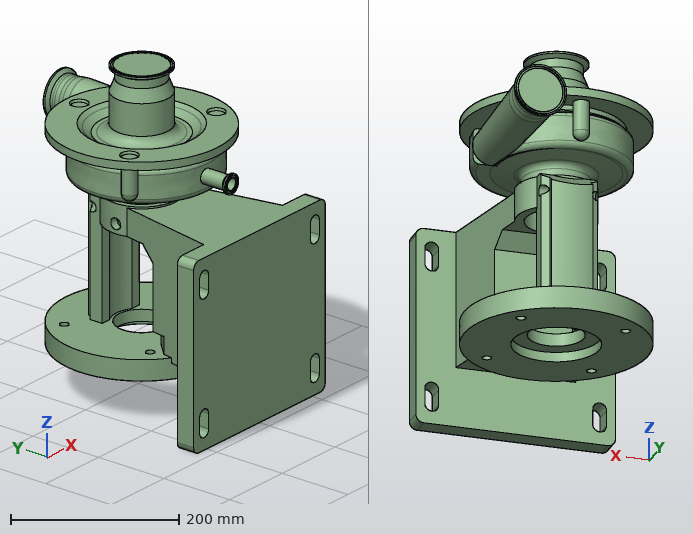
import cadquery as cq
import math

TOTAL_HEIGHT = 416.0

PLATE_SIZE = 250.0
PLATE_BACK_Y = -179.7
PLATE_THICKNESS = 25.0
PLATE_FRONT_Y = PLATE_BACK_Y + PLATE_THICKNESS
PLATE_CORNER_RADIUS = 10.0
SLOT_SPACING_X = 210.0
SLOT_SPACING_Z = 180.0
SLOT_LENGTH = 37.0
SLOT_WIDTH = 17.0

FLANGE_RADIUS = 115.2
MOTOR_FLANGE_BOTTOM = 55.0
MOTOR_FLANGE_TOP = 82.8
MOTOR_FLANGE_BORE_RADIUS = 34.5
MOTOR_SPIGOT_RADIUS = 54.0
MOTOR_SPIGOT_DEPTH = 12.0
BOLT_PITCH = 131.0
BOLT_HOLE_DIAMETER = 11.5

RING_RADIUS = 50.0
RING_BORE_RADIUS = 38.3
SHAFT_BORE_TOP = 250.0
RING_BOTTOM = 213.0
RING_TOP = 252.5
RING_HOLE_RADIUS = 7.5
RING_HOLE_Z = 226.0

WEB_HALF_WIDTH_AT_PLATE = 75.0
WEB_HALF_WIDTH_AT_RING = 47.5
WEB_RING_Y = -15.5
WEB_INNER_Y = -62.5
WEB_BOTTOM = 76.0
WEB_INNER_CHAMFER = 18.7
BOLT_CLEARANCE_HEIGHT = 23.0
BOLT_CLEARANCE_DEPTH = 20.0

ARM_HALF_WIDTH = 35.5
ARM_RIDGE_HALF_WIDTH = 26.0
ARM_INNER_Y = 32.0
ARM_SHOULDER_Y = 50.5
ARM_RIDGE_Y = 55.0
ARM_OUTER_RADIUS = 66.0
ARM_CHAMFER_Y = 20.5
ARM_CHAMFER_Z = 16.5
ARM_HOLE_RADIUS = 6.5
ARM_HOLE_Y = 48.0
ARM_HOLE_Z = 230.0

CASING_START_RADIUS = 82.5
CASING_GROWTH_PER_TURN = 21.5
CURVE_STEPS = 24
CASING_BOTTOM = 274.5
CASING_TOP = 320.0
CASING_TOP_FILLET = 6.2
CASING_BOTTOM_FILLET = 7.5
COLLAR_RADIUS = 84.5
COLLAR_FOOT_RADIUS = 86.5
COLLAR_BOTTOM = 322.5
CASING_CONE_RADIUS = 79.0
CASING_FLOOR = 271.5
NECK_RADIUS = 42.5
NECK_FILLET = 8.0

FRONT_FLANGE_BOTTOM = 328.5
FRONT_FLANGE_TOP = 339.5
DISH_FLOOR = 328.2
DISH_OPENING_RADIUS = 77.0
DISH_WALL_RADIUS = 70.7
DISH_WALL_BOTTOM = 335.0
DISH_FLOOR_OUTER_RADIUS = 60.5
DISH_FLOOR_INNER_RADIUS = 53.5

BOSS_CIRCLE_RADIUS = 95.3
BOSS_RADIUS = 10.0
BOSS_ROUND_CENTER_Z = 290.5
BOSS_ANGLES = (90, 210, 330)
BOSS_RECESS_RADIUS = 11.5
BOSS_RECESS_FLOOR_RADIUS = 10.5
BOSS_RECESS_DEPTH = 3.5

INLET_RADIUS = 39.0
INLET_NECK_RADIUS = 32.5
INLET_CONE_BOTTOM = 382.0
INLET_CONE_TOP = 398.5
FERRULE_RIM = 2.5
FERRULE_TAPER = 3.7
GROOVE_MARGIN = 2.0
GROOVE_WIDTH = 2.5
GROOVE_DEPTH = 1.2

PORT_Z = 298.0
OUTLET_X = 81.5
OUTLET_END_Y = 190.0
OUTLET_ROOT_RADIUS = 23.5
OUTLET_SWELL_RADIUS = 28.3
OUTLET_SWELL_Y = 156.0
OUTLET_SHOULDER_RADIUS = 27.5
OUTLET_SHOULDER_Y = 165.0
OUTLET_NECK_RADIUS = 26.5
OUTLET_NECK_Y = 171.0
OUTLET_NECK_END_Y = 177.2
OUTLET_LAND_RADIUS = 27.0
OUTLET_LAND_Y = 180.0
OUTLET_FERRULE_RADIUS = 32.5
DRAIN_ROOT = 68.5
DRAIN_END = 137.3
DRAIN_RADIUS = 10.0
DRAIN_FERRULE_RADIUS = 13.5
DRAIN_BORE_RADIUS = 8.0
DRAIN_BORE_DEPTH = 33.3


def cylinder(radius, bottom, top, x=0.0, y=0.0):
    return cq.Workplane("XY", origin=(x, y, bottom)).circle(radius).extrude(top - bottom)


def turned(profile):
    """Revolve a list of (radius, height) points, closed along the Z axis."""
    first_height = profile[0][1]
    last_height = profile[-1][1]
    points = [(0, first_height)] + profile + [(0, last_height)]
    return cq.Workplane("XZ").polyline(points).close().revolve(360, (0, 0), (0, 1))


def ferruled_pipe(profile, rim_radius, end):
    """Turned pipe along Z whose last neck flares to a grooved clamp ferrule."""
    neck_radius = profile[-1][0]
    ferrule = [
        (neck_radius, end - FERRULE_RIM - FERRULE_TAPER),
        (rim_radius, end - FERRULE_RIM),
        (rim_radius, end),
    ]
    groove_radius = rim_radius - GROOVE_MARGIN
    groove = (
        cq.Workplane("XY", origin=(0, 0, end))
        .circle(groove_radius)
        .circle(groove_radius - GROOVE_WIDTH)
        .extrude(-GROOVE_DEPTH)
    )
    return turned(profile + ferrule).cut(groove)


def mounting_plate():
    center = cq.Workplane("XZ", origin=(0, PLATE_FRONT_Y, PLATE_SIZE / 2))
    plate = center.rect(PLATE_SIZE, PLATE_SIZE).extrude(PLATE_THICKNESS)
    plate = plate.edges("|Y").fillet(PLATE_CORNER_RADIUS)
    slots = (
        center.rect(SLOT_SPACING_X, SLOT_SPACING_Z, forConstruction=True)
        .vertices()
        .slot2D(SLOT_LENGTH, SLOT_WIDTH, 90)
        .extrude(PLATE_THICKNESS)
    )
    return plate.cut(slots)


def motor_flange():
    """Motor flange with a shallow spigot recess below and four bolt holes."""
    flange = cylinder(FLANGE_RADIUS, MOTOR_FLANGE_BOTTOM, MOTOR_FLANGE_TOP)
    spigot_top = MOTOR_FLANGE_BOTTOM + MOTOR_SPIGOT_DEPTH
    flange = flange.cut(cylinder(MOTOR_SPIGOT_RADIUS, MOTOR_FLANGE_BOTTOM, spigot_top))
    return (
        flange.faces(">Z").workplane().hole(2 * MOTOR_FLANGE_BORE_RADIUS)
        .faces(">Z").workplane()
        .rect(BOLT_PITCH, BOLT_PITCH, forConstruction=True)
        .vertices()
        .hole(BOLT_HOLE_DIAMETER)
    )


def web_half_width_at(y):
    """Half width of the tapered web at a given Y."""
    share = (y - PLATE_FRONT_Y) / (WEB_RING_Y - PLATE_FRONT_Y)
    return WEB_HALF_WIDTH_AT_PLATE + share * (WEB_HALF_WIDTH_AT_RING - WEB_HALF_WIDTH_AT_PLATE)


def bracket_web():
    """Tapered web from the plate to the clamp ring, with room for two bolt heads."""
    plan = (
        cq.Workplane("XY")
        .moveTo(-WEB_HALF_WIDTH_AT_PLATE, PLATE_FRONT_Y)
        .lineTo(WEB_HALF_WIDTH_AT_PLATE, PLATE_FRONT_Y)
        .lineTo(WEB_HALF_WIDTH_AT_RING, WEB_RING_Y)
        .lineTo(-WEB_HALF_WIDTH_AT_RING, WEB_RING_Y)
        .close()
        .extrude(TOTAL_HEIGHT)
    )
    side = (
        cq.Workplane("YZ", origin=(-PLATE_SIZE / 2, 0, 0))
        .moveTo(PLATE_FRONT_Y, WEB_BOTTOM)
        .lineTo(WEB_INNER_Y, WEB_BOTTOM)
        .lineTo(WEB_INNER_Y, RING_BOTTOM - WEB_INNER_CHAMFER)
        .lineTo(WEB_INNER_Y + WEB_INNER_CHAMFER, RING_BOTTOM)
        .lineTo(WEB_RING_Y, RING_BOTTOM)
        .lineTo(WEB_RING_Y, PLATE_SIZE)
        .lineTo(PLATE_FRONT_Y, PLATE_SIZE)
        .close()
        .extrude(PLATE_SIZE)
    )
    web = plan.intersect(side)

    clearance_y = WEB_INNER_Y - BOLT_CLEARANCE_DEPTH
    outer_x = web_half_width_at(clearance_y)
    inner_x = outer_x - BOLT_CLEARANCE_DEPTH
    for direction in (-1, 1):
        clearance = (
            cq.Workplane("XY", origin=(0, 0, MOTOR_FLANGE_TOP))
            .moveTo(direction * inner_x, WEB_INNER_Y)
            .lineTo(direction * outer_x, clearance_y)
            .lineTo(direction * outer_x, WEB_INNER_Y)
            .close()
            .extrude(BOLT_CLEARANCE_HEIGHT)
        )
        web = web.cut(clearance)
    return web


def bracket_arm():
    """Arm opposite the web: concave inside, with a rounded ridge outside."""
    ridge_edge_y = math.sqrt(ARM_OUTER_RADIUS**2 - ARM_RIDGE_HALF_WIDTH**2)
    arm = (
        cq.Workplane("XY", origin=(0, 0, MOTOR_FLANGE_TOP))
        .moveTo(-ARM_HALF_WIDTH, ARM_INNER_Y)
        .lineTo(-ARM_HALF_WIDTH, ARM_SHOULDER_Y)
        .lineTo(-ARM_RIDGE_HALF_WIDTH, ARM_RIDGE_Y)
        .lineTo(-ARM_RIDGE_HALF_WIDTH, ridge_edge_y)
        .threePointArc((0, ARM_OUTER_RADIUS), (ARM_RIDGE_HALF_WIDTH, ridge_edge_y))
        .lineTo(ARM_RIDGE_HALF_WIDTH, ARM_RIDGE_Y)
        .lineTo(ARM_HALF_WIDTH, ARM_SHOULDER_Y)
        .lineTo(ARM_HALF_WIDTH, ARM_INNER_Y)
        .close()
        .extrude(RING_TOP - MOTOR_FLANGE_TOP)
    )
    top_chamfer = (
        cq.Workplane("YZ", origin=(-ARM_HALF_WIDTH, 0, 0))
        .moveTo(ARM_OUTER_RADIUS, RING_TOP - ARM_CHAMFER_Z)
        .lineTo(ARM_OUTER_RADIUS, RING_TOP)
        .lineTo(ARM_OUTER_RADIUS - ARM_CHAMFER_Y, RING_TOP)
        .close()
        .extrude(2 * ARM_HALF_WIDTH)
    )
    return arm.cut(top_chamfer)


def bracket():
    """Clamp ring, web and arm, joined to the motor flange and the mounting plate."""
    ring = cylinder(RING_RADIUS, RING_BOTTOM, RING_TOP)
    shaft_bore = cylinder(RING_BORE_RADIUS, MOTOR_FLANGE_TOP, SHAFT_BORE_TOP)
    ring_hole = (
        cq.Workplane("YZ", origin=(-RING_RADIUS, 0, RING_HOLE_Z))
        .circle(RING_HOLE_RADIUS)
        .extrude(RING_RADIUS)
    )
    arm_hole = (
        cq.Workplane("YZ", origin=(-ARM_HALF_WIDTH, ARM_HOLE_Y, ARM_HOLE_Z))
        .circle(ARM_HOLE_RADIUS)
        .extrude(2 * ARM_HALF_WIDTH)
    )
    upper = ring.union(bracket_web()).union(bracket_arm())
    upper = upper.cut(shaft_bore).cut(ring_hole).cut(arm_hole)
    return upper.union(motor_flange()).union(mounting_plate())


def spiral_casing():
    """Volute whose radius grows steadily over one turn, starting at +X."""
    def rim(turn):
        angle = 2 * math.pi * turn
        radius = CASING_START_RADIUS + CASING_GROWTH_PER_TURN * turn
        return radius * math.cos(angle), radius * math.sin(angle)

    volute = (
        cq.Workplane("XY", origin=(0, 0, CASING_BOTTOM))
        .moveTo(*rim(0))
        .spline([rim(step / CURVE_STEPS) for step in range(1, CURVE_STEPS + 1)], includeCurrent=True)
        .close()
        .extrude(CASING_TOP - CASING_BOTTOM)
    )
    volute = volute.faces(">Z").edges("%BSPLINE").fillet(CASING_TOP_FILLET)
    volute = volute.faces("<Z").edges("%BSPLINE").fillet(CASING_BOTTOM_FILLET)

    underside = (
        cq.Workplane("XZ")
        .moveTo(0, RING_TOP)
        .lineTo(NECK_RADIUS, RING_TOP)
        .lineTo(NECK_RADIUS, CASING_FLOOR - NECK_FILLET)
        .radiusArc((NECK_RADIUS + NECK_FILLET, CASING_FLOOR), NECK_FILLET)
        .lineTo(CASING_CONE_RADIUS, CASING_BOTTOM)
        .lineTo(0, CASING_BOTTOM)
        .close()
        .revolve(360, (0, 0), (0, 1))
    )
    collar = turned([
        (COLLAR_FOOT_RADIUS, CASING_TOP),
        (COLLAR_RADIUS, COLLAR_BOTTOM),
        (COLLAR_RADIUS, FRONT_FLANGE_BOTTOM),
    ])
    return volute.union(underside).union(collar)


def front_flange():
    """Flange disc, and the dished recess to cut around the inlet pipe."""
    flange = cylinder(FLANGE_RADIUS, FRONT_FLANGE_BOTTOM, FRONT_FLANGE_TOP)
    dish = (
        cq.Workplane("XZ")
        .moveTo(INLET_RADIUS, FRONT_FLANGE_TOP)
        .lineTo(DISH_OPENING_RADIUS, FRONT_FLANGE_TOP)
        .lineTo(DISH_WALL_RADIUS, DISH_WALL_BOTTOM)
        .tangentArcPoint((DISH_FLOOR_OUTER_RADIUS, DISH_FLOOR), relative=False)
        .lineTo(DISH_FLOOR_INNER_RADIUS, DISH_FLOOR)
        .tangentArcPoint((INLET_RADIUS, FRONT_FLANGE_TOP), relative=False)
        .close()
        .revolve(360, (0, 0), (0, 1))
    )
    return flange, dish


def boss_places():
    for degrees in BOSS_ANGLES:
        angle = math.radians(degrees)
        yield BOSS_CIRCLE_RADIUS * math.cos(angle), BOSS_CIRCLE_RADIUS * math.sin(angle)


def pump_head():
    """Casing, front flange and screw bosses, with the recesses in the flange face."""
    flange, dish = front_flange()
    head = spiral_casing().union(flange)
    for x, y in boss_places():
        boss = cylinder(BOSS_RADIUS, BOSS_ROUND_CENTER_Z, FRONT_FLANGE_BOTTOM, x, y)
        round_end = cq.Workplane("XY", origin=(x, y, BOSS_ROUND_CENTER_Z)).sphere(BOSS_RADIUS)
        head = head.union(boss).union(round_end)
    head = head.cut(dish)
    recess = turned([
        (BOSS_RECESS_FLOOR_RADIUS, FRONT_FLANGE_TOP - BOSS_RECESS_DEPTH),
        (BOSS_RECESS_RADIUS, FRONT_FLANGE_TOP),
    ])
    for x, y in boss_places():
        head = head.cut(recess.translate((x, y, 0)))
    return head


def inlet():
    shaft = [
        (INLET_RADIUS, CASING_TOP),
        (INLET_RADIUS, INLET_CONE_BOTTOM),
        (INLET_NECK_RADIUS, INLET_CONE_TOP),
    ]
    return ferruled_pipe(shaft, INLET_RADIUS, TOTAL_HEIGHT)


def outlet():
    """Outlet pipe, tangent to the volute and pointing along +Y."""
    pipe = [
        (OUTLET_ROOT_RADIUS, 0),
        (OUTLET_SWELL_RADIUS, OUTLET_SWELL_Y),
        (OUTLET_SHOULDER_RADIUS, OUTLET_SHOULDER_Y),
        (OUTLET_NECK_RADIUS, OUTLET_NECK_Y),
        (OUTLET_NECK_RADIUS, OUTLET_NECK_END_Y),
        (OUTLET_LAND_RADIUS, OUTLET_LAND_Y),
    ]
    upright = ferruled_pipe(pipe, OUTLET_FERRULE_RADIUS, OUTLET_END_Y)
    return upright.rotate((0, 0, 0), (1, 0, 0), -90).translate((OUTLET_X, 0, PORT_Z))


def drain():
    """Small drain port pointing along -Y, with a blind bore."""
    upright = ferruled_pipe([(DRAIN_RADIUS, DRAIN_ROOT)], DRAIN_FERRULE_RADIUS, DRAIN_END)
    upright = upright.cut(cylinder(DRAIN_BORE_RADIUS, DRAIN_END - DRAIN_BORE_DEPTH, DRAIN_END))
    return upright.rotate((0, 0, 0), (1, 0, 0), 90).translate((0, 0, PORT_Z))


result = bracket().union(pump_head()).union(inlet()).union(outlet()).union(drain())